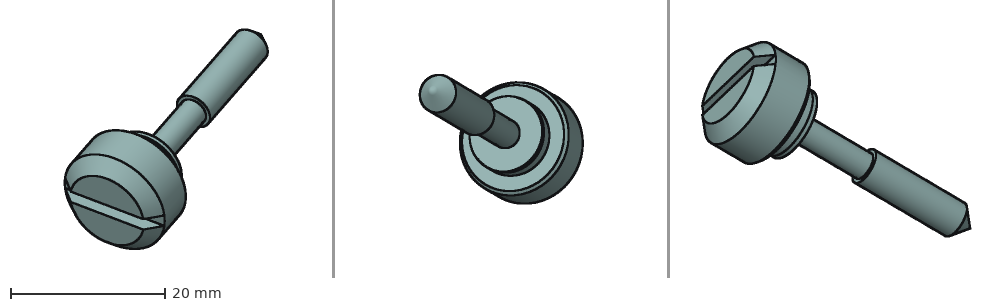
import cadquery as cq

total_length = 40.0
head_length = 8.0
washer_end = 10.8
washer_thickness = 0.7
shank_start = 22.5

head_diameter = 15.0
collar_diameter = 10.0
neck_diameter = 3.8
shank_diameter = 5.0

front_chamfer = 2.0
rear_chamfer = 0.5
slot_width = 1.8
slot_depth = front_chamfer

collar_length = washer_end - washer_thickness - head_length
tip_length = shank_diameter / 2
shank_length = total_length - tip_length - shank_start


def cylinder(diameter, start, length):
    """Cylinder on the Y axis, growing toward +Y from start."""
    plane = cq.Workplane("XZ", origin=(0, start, 0))
    return plane.circle(diameter / 2).extrude(-length)


def make_head():
    """Chamfered head with a screwdriver slot across its face."""
    head = cylinder(head_diameter, 0, head_length)
    head = head.faces("<Y").chamfer(front_chamfer)
    head = head.faces(">Y").chamfer(rear_chamfer)
    slot = cq.Workplane("XY").box(
        head_diameter, slot_depth, slot_width, centered=(True, False, True)
    )
    return head.cut(slot)


def make_tip():
    """Cone that narrows to a point at the far end of the screw."""
    radius = shank_diameter / 2
    cone = cq.Solid.makeCone(
        radius, 0, tip_length, cq.Vector(0, total_length - tip_length, 0), cq.Vector(0, 1, 0)
    )
    return cq.Workplane(obj=cone)


def make_screw():
    """Captive screw: slotted head, collar, thin neck, shank and pointed tip."""
    collar = cylinder(collar_diameter, head_length, collar_length)
    neck_start = head_length + collar_length
    neck = cylinder(neck_diameter, neck_start, shank_start - neck_start)
    shank = cylinder(shank_diameter, shank_start, shank_length)
    return make_head().union(collar).union(neck).union(shank).union(make_tip())


def make_washer():
    """Flat washer fitted around the neck, against the collar."""
    start = washer_end - washer_thickness
    washer = cylinder(collar_diameter, start, washer_thickness)
    return washer.cut(cylinder(neck_diameter, start, washer_thickness))


screw = make_screw()
washer = make_washer()

result = cq.Compound.makeCompound([screw.val(), washer.val()])